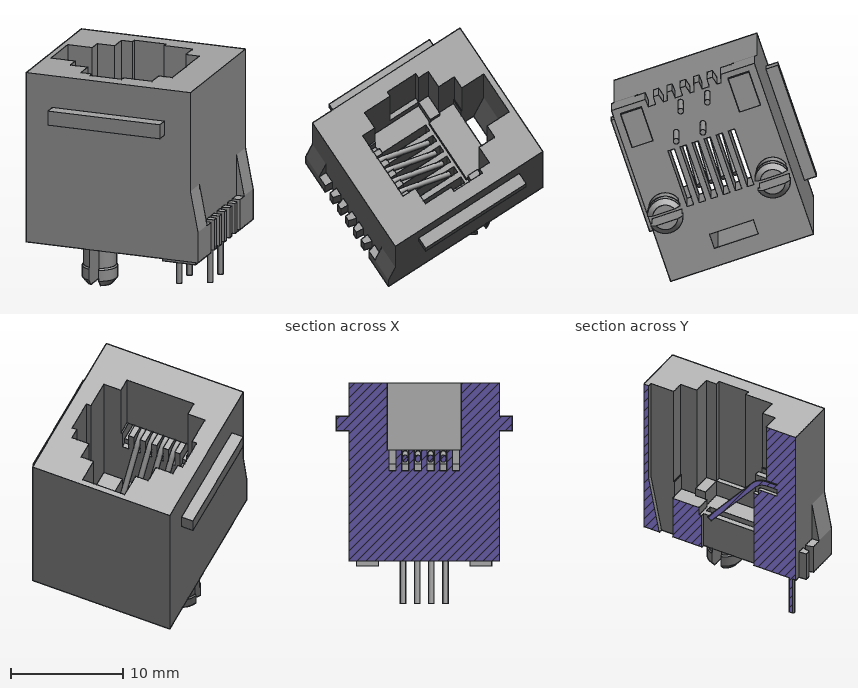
import cadquery as cq
import math

BODY_LENGTH = 15.75
BODY_WIDTH = 13.46
BODY_HEIGHT = 15.9
TOTAL_HEIGHT = 19.68
FLARE = 0.73
FLARE_START_Z = 2.83
FLARE_END_Z = 6.6

RAIL_LEFT = 2.52
RAIL_RIGHT = 13.25
RAIL_BOTTOM = 11.61
RAIL_HEIGHT = 1.32
RAIL_DEPTH = 1.12

CAVITY_FLOOR_Z = 3.55
PLUG_LEFT = 4.55
PLUG_RIGHT = 11.35
PLUG_WIDTH = 9.92
NOTCH_LEFT = 5.59
NOTCH_RIGHT = 8.62
NOTCH_WIDTH = 10.82
NOTCH_FLOOR_Z = 5.12
KEY_LEFT = 2.87
KEY_RIGHT = 12.65
KEY_WIDTH = 6.57

LIP = 0.1
LIP_Z = 5.9
CENTRE_STEP_RIGHT = 5.75
CENTRE_STEP_WIDTH = 6.08
CENTRE_STEP_Z = 4.33
CORNER_STEP_Z = 5.12
GUIDE_TOP_Z = 9.92

LATCH_LEFT = 0.53
LATCH_BOTTOM_LEFT = 1.61
LATCH_SLOPE_Z = 5.51
LATCH_WIDTH = 4.13

SLOT_COUNT = 6
SLOT_ROW_LENGTH = 5.67
SLOT_PITCH = SLOT_ROW_LENGTH / (SLOT_COUNT - 1)
SLOT_WIDTH = 0.61
SLOT_LEFT = 6.0
SLOT_RIGHT = 13.78
GUIDE_SHELF_X = 11.85
GUIDE_SHELF_Z = 8.65
GUIDE_LOW_SHELF_Z = 8.07

RIB_BAY_WIDTH = 9.05
RIB_TOP_Z = FLARE_START_Z
RIB_GAP_COUNT = 6
RIB_GAP_ROW_LENGTH = 6.32
RIB_GAP_PITCH = RIB_GAP_ROW_LENGTH / (RIB_GAP_COUNT - 1)
RIB_GAP_OUTER_WIDTH = 0.77
RIB_GAP_INNER_WIDTHS = (0.67, 0.37)

WIRE_DIAMETER = 0.51
CONTACT_COUNT = 4
WIRE_TIP_X = 6.77
WIRE_BEND_X = 12.75
WIRE_ANCHOR = 0.4
WIRE_TOP_Z = 9.84
WIRE_BEND_RADIUS = 1.77
WIRE_SLOPE = math.radians(50)
PIN_PITCH = 1.25
PIN_ROWS_X = (12.75, 15.23)
PIN_LENGTH = TOTAL_HEIGHT - BODY_HEIGHT

PEG_X = 6.42
PEG_Y = 5.05
PEG_DIAMETER = 3.0
PEG_COLLAR_DIAMETER = 3.19
PEG_TIP_DIAMETER = 2.25
PEG_NECK_LENGTH = 1.73
PEG_COLLAR_START = 1.89
PEG_COLLAR_END = 2.91
PEG_LENGTH = 3.48
PEG_SPLIT = 0.92

FOOT_LEFT = 12.77
FOOT_RIGHT = 15.96
FOOT_HEIGHT = 0.45
FOOT_WIDTH = 1.97


def block(x_min, x_max, width, z_min, z_max, y_centre=0.0):
    """Box between two X and two Z positions, centred on y_centre."""
    size = (x_max - x_min, width, z_max - z_min)
    return cq.Workplane("XY").box(*size, centered=(False, True, False)).translate((x_min, y_centre, z_min))


def centred_row(count, pitch):
    """Positions of a row of equally spaced items around zero."""
    return [(index - (count - 1) / 2) * pitch for index in range(count)]


def xz_prism(points, width):
    """Outline in the XZ plane, extruded to a width centred on y = 0."""
    return cq.Workplane("XZ").polyline(points).close().extrude(width / 2, both=True)


def housing():
    outline = [
        (0, 0),
        (BODY_LENGTH + FLARE, 0),
        (BODY_LENGTH + FLARE, FLARE_START_Z),
        (BODY_LENGTH, FLARE_END_Z),
        (BODY_LENGTH, BODY_HEIGHT),
        (0, BODY_HEIGHT),
    ]
    rails = block(RAIL_LEFT, RAIL_RIGHT, BODY_WIDTH + 2 * RAIL_DEPTH, RAIL_BOTTOM, RAIL_BOTTOM + RAIL_HEIGHT)
    return xz_prism(outline, BODY_WIDTH).union(rails)


def plug_cavity():
    """Stepped opening for the plug, leaving the contact guide and the floor steps standing."""
    plug = block(NOTCH_LEFT, PLUG_RIGHT, PLUG_WIDTH, CAVITY_FLOOR_Z, BODY_HEIGHT)
    plug = plug.union(block(PLUG_LEFT, NOTCH_LEFT, PLUG_WIDTH, CORNER_STEP_Z, BODY_HEIGHT))
    notches = block(NOTCH_LEFT, NOTCH_RIGHT, NOTCH_WIDTH, NOTCH_FLOOR_Z, BODY_HEIGHT)
    key = block(KEY_LEFT, CENTRE_STEP_RIGHT, KEY_WIDTH, LIP_Z, BODY_HEIGHT)
    key_base = block(KEY_LEFT + LIP, PLUG_LEFT, KEY_WIDTH, CENTRE_STEP_Z, LIP_Z)
    guide_opening = block(PLUG_RIGHT, KEY_RIGHT, KEY_WIDTH, GUIDE_TOP_Z, BODY_HEIGHT)
    centre_step = block(PLUG_LEFT, CENTRE_STEP_RIGHT, CENTRE_STEP_WIDTH, CAVITY_FLOOR_Z, CENTRE_STEP_Z)
    centre_gap = block(PLUG_LEFT, CENTRE_STEP_RIGHT, CENTRE_STEP_WIDTH, CENTRE_STEP_Z, LIP_Z)
    cavity = plug.union(notches).union(key).union(key_base).union(guide_opening)
    return cavity.cut(centre_step).union(centre_gap)


def latch_slot():
    right = KEY_LEFT + LIP
    outline = [
        (LATCH_BOTTOM_LEFT, 0),
        (right, 0),
        (right, BODY_HEIGHT),
        (LATCH_LEFT, BODY_HEIGHT),
        (LATCH_LEFT, LATCH_SLOPE_Z),
    ]
    return xz_prism(outline, LATCH_WIDTH)


def contact_slots():
    """Slots through the cavity floor that run on, over two shelves, under the rear wall."""
    outline = [
        (SLOT_LEFT, 0),
        (PLUG_RIGHT, 0),
        (PLUG_RIGHT, GUIDE_LOW_SHELF_Z),
        (GUIDE_SHELF_X, GUIDE_LOW_SHELF_Z),
        (GUIDE_SHELF_X, GUIDE_SHELF_Z),
        (SLOT_RIGHT, GUIDE_SHELF_Z),
        (SLOT_RIGHT, GUIDE_TOP_Z),
        (SLOT_LEFT, GUIDE_TOP_Z),
    ]
    slot = xz_prism(outline, SLOT_WIDTH)
    slots = cq.Workplane("XY")
    for y in centred_row(SLOT_COUNT, SLOT_PITCH):
        slots = slots.union(slot.translate((0, y, 0)))
    return slots


def rib_gaps():
    """Recess above the rear ribs together with the gaps between them."""
    gaps = block(BODY_LENGTH, BODY_LENGTH + FLARE, RIB_BAY_WIDTH, RIB_TOP_Z, FLARE_END_Z)
    for index, y in enumerate(centred_row(RIB_GAP_COUNT, RIB_GAP_PITCH)):
        inner = RIB_GAP_INNER_WIDTHS[index % 2] / 2
        outer = RIB_GAP_OUTER_WIDTH / 2
        outline = [
            (BODY_LENGTH, y - inner),
            (BODY_LENGTH + FLARE, y - outer),
            (BODY_LENGTH + FLARE, y + outer),
            (BODY_LENGTH, y + inner),
        ]
        gaps = gaps.union(cq.Workplane("XY").polyline(outline).close().extrude(RIB_TOP_Z))
    return gaps


def contact_wire(y):
    """Round wire leaving the end of its slot level and bending down into the cavity."""
    level_z = WIRE_TOP_Z - WIRE_DIAMETER / 2
    centre_z = level_z - WIRE_BEND_RADIUS

    def on_bend(angle):
        return (
            WIRE_BEND_X - WIRE_BEND_RADIUS * math.sin(angle),
            centre_z + WIRE_BEND_RADIUS * math.cos(angle),
        )

    bend_end = on_bend(WIRE_SLOPE)
    tip = (WIRE_TIP_X, bend_end[1] - (bend_end[0] - WIRE_TIP_X) * math.tan(WIRE_SLOPE))
    start_x = SLOT_RIGHT + WIRE_ANCHOR
    path = (
        cq.Workplane("XZ", origin=(0, y, 0))
        .moveTo(start_x, level_z)
        .lineTo(WIRE_BEND_X, level_z)
        .threePointArc(on_bend(WIRE_SLOPE / 2), bend_end)
        .lineTo(*tip)
    )
    section = cq.Workplane("YZ", origin=(start_x, y, level_z)).circle(WIRE_DIAMETER / 2)
    return section.sweep(path)


def solder_pin(x, y):
    return cq.Workplane("XY").center(x, y).circle(WIRE_DIAMETER / 2).extrude(-PIN_LENGTH)


def snap_peg(y):
    """Peg with a collar and a tapered tip, split lengthways into two halves."""
    profile = [
        (0, 0),
        (PEG_DIAMETER / 2, 0),
        (PEG_DIAMETER / 2, -PEG_NECK_LENGTH),
        (PEG_COLLAR_DIAMETER / 2, -PEG_COLLAR_START),
        (PEG_COLLAR_DIAMETER / 2, -PEG_COLLAR_END),
        (PEG_TIP_DIAMETER / 2, -PEG_LENGTH),
        (0, -PEG_LENGTH),
    ]
    peg = cq.Workplane("XZ").polyline(profile).close().revolve(360, (0, 0, 0), (0, 1, 0))
    split = block(-PEG_SPLIT / 2, PEG_SPLIT / 2, PEG_COLLAR_DIAMETER, -PEG_LENGTH, 0)
    return peg.cut(split).translate((PEG_X, y, 0))


result = housing().cut(plug_cavity()).cut(latch_slot()).cut(contact_slots()).cut(rib_gaps())

for wire_y in centred_row(CONTACT_COUNT, SLOT_PITCH):
    result = result.union(contact_wire(wire_y))

for index, pin_y in enumerate(centred_row(CONTACT_COUNT, PIN_PITCH)):
    result = result.union(solder_pin(PIN_ROWS_X[index % 2], pin_y))

for side_y in (-PEG_Y, PEG_Y):
    result = result.union(snap_peg(side_y))
    result = result.union(block(FOOT_LEFT, FOOT_RIGHT, FOOT_WIDTH, -FOOT_HEIGHT, 0, side_y))